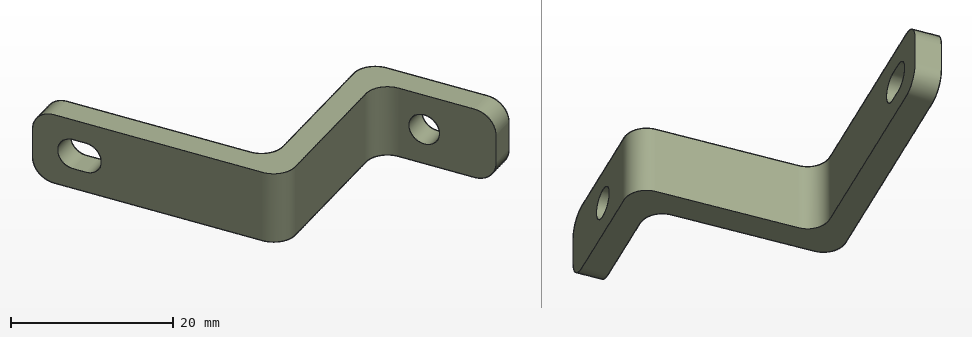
import cadquery as cq

length = 51.5
depth = 28.5
height = 10.0

thickness = 3.5
bend_radius = 3.0
corner_radius = 3.0

web_right = 34.95
web_left = web_right - thickness

hole_diameter = 4.2
hole_x = 41.5
slot_x = 6.55
slot_length = 6.0


def bent_strap():
    """Z profile extruded along the height, with all four bend edges rounded."""
    rear_leg_front = depth - thickness
    profile = [
        (0, 0),
        (web_right, 0),
        (web_right, rear_leg_front),
        (length, rear_leg_front),
        (length, depth),
        (web_left, depth),
        (web_left, thickness),
        (0, thickness),
    ]
    strap = cq.Workplane("XY").polyline(profile).close().extrude(height)
    web_region = cq.selectors.BoxSelector(
        (web_left - thickness / 2, -thickness, 0),
        (web_right + thickness / 2, depth + thickness, height),
    )
    bend_edges = strap.edges("|Z").edges(web_region)
    return bend_edges.fillet(bend_radius)


def round_leg_ends(strap):
    """Round the upper and lower corners at the free end of each leg."""
    return strap.edges("|Y").edges("<X or >X").fillet(corner_radius)


def leg_openings():
    """Cutters for the front-leg slot and the rear-leg hole."""
    mid_height = height / 2
    slot = (
        cq.Workplane("XZ")
        .center(slot_x, mid_height)
        .slot2D(slot_length, hole_diameter)
        .extrude(-thickness)
    )
    hole = (
        cq.Workplane("XZ", origin=(0, depth - thickness, 0))
        .center(hole_x, mid_height)
        .circle(hole_diameter / 2)
        .extrude(-thickness)
    )
    return slot.union(hole)


result = round_leg_ends(bent_strap()).cut(leg_openings())